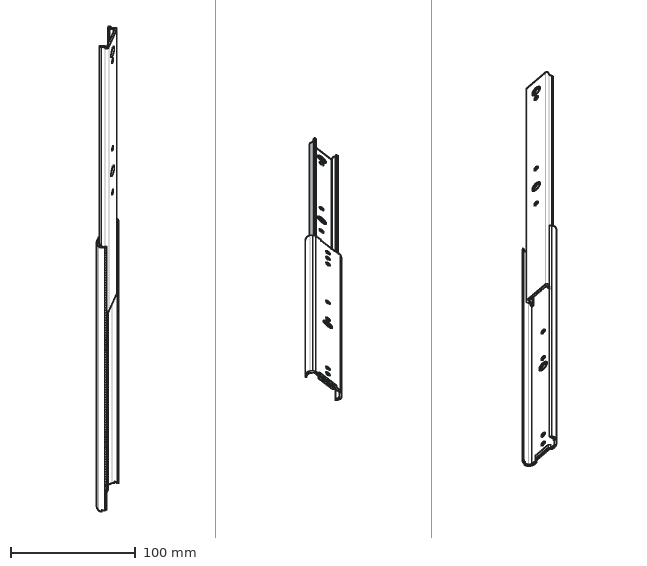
import cadquery as cq
import math


total_length = 531.5
rail_length = 305.5
depth = 9.5
sheet = 1.7
back_x = -depth / 2
front_x = depth / 2

outer_back_half = 13.0
outer_bend_x = -3.5
outer_bend_y = 15.0
flange_slope = 1.85
crown_rise = 0.9
lip_inset = 1.0
lip_drop = 1.35

inner_half_width = 12.0
inner_lip_x = -2.5
groove_start_x = -1.0
groove_depth = 0.8
corner_radius = 1.5

lip_relief_x = 1.0
lip_relief_height = 1.5
tab_half_width = 7.0
tab_drop = 1.5
tab_tip_x = 0.5
emboss_half_width = 9.0
emboss_height = 4.0
emboss_depth = 1.5

small_hole = 4.0
large_hole = 9.0
outer_small_heights = [16.0, 28.5, 139.0, 177.5, 263.5, 276.5, 289.0]
outer_large_heights = [127.5]
inner_small_heights = [354.0, 404.5, 506.0]
inner_large_heights = [378.5, 516.0]


def drill(rail, heights, diameter):
    """Cut round holes along X on the centre line of a rail."""
    points = [(0, height) for height in heights]
    holes = cq.Workplane("YZ").pushPoints(points).circle(diameter / 2).extrude(depth, both=True)
    return rail.cut(holes)


def block(x_start, x_end, half_width, z_start, z_end):
    """Box centred on the XZ plane."""
    base = cq.Workplane("XY", origin=((x_start + x_end) / 2, 0, z_start))
    return base.rect(x_end - x_start, 2 * half_width).extrude(z_end - z_start)


def outer_channel():
    """Outer rail section over the full rail length."""
    crown_start_x = outer_bend_x + flange_slope
    crown_end_x = front_x - lip_inset
    crown_mid_x = (crown_start_x + crown_end_x) / 2
    crown_foot_y = outer_bend_y + flange_slope
    crown_y = crown_foot_y + crown_rise
    inside_back_x = back_x + sheet
    inside_crown_start = (crown_start_x + sheet / 2, crown_foot_y - sheet)
    half = (
        cq.Workplane("XY")
        .moveTo(back_x, 0)
        .lineTo(back_x, outer_back_half)
        .lineTo(outer_bend_x, outer_bend_y)
        .lineTo(crown_start_x, crown_foot_y)
        .threePointArc((crown_mid_x, crown_y), (crown_end_x, crown_foot_y))
        .lineTo(front_x, crown_foot_y - lip_drop)
        .lineTo(crown_end_x, crown_foot_y - sheet)
        .threePointArc((crown_mid_x, crown_y - sheet), inside_crown_start)
        .lineTo(inside_back_x, outer_back_half)
        .lineTo(inside_back_x, 0)
        .close()
        .extrude(rail_length)
    )
    return half.union(half.mirror("XZ"))


def relieve_lips(rail):
    """Shorten the front part of both flanges at the lower end."""
    beyond_flanges = 2 * outer_bend_y
    return rail.cut(block(lip_relief_x, front_x, beyond_flanges, 0, lip_relief_height))


def add_top_tab(rail):
    """Notch the back at its upper end and bend a stop tab inward below the notch."""
    tab_top = rail_length - tab_drop
    inside_back_x = back_x + sheet
    notch = block(back_x, inside_back_x, tab_half_width, tab_top, rail_length)
    tab = block(inside_back_x, tab_tip_x, tab_half_width, tab_top - sheet, tab_top)
    return rail.cut(notch).union(tab)


def emboss_section(start_x):
    """Trapezoid with 45 degree sides, narrowing inward from start_x."""
    end_x = start_x + emboss_depth
    floor_half_width = emboss_half_width - emboss_depth
    return (
        cq.Workplane("XY")
        .moveTo(start_x, -emboss_half_width)
        .lineTo(end_x, -floor_half_width)
        .lineTo(end_x, floor_half_width)
        .lineTo(start_x, emboss_half_width)
        .close()
        .extrude(emboss_height)
    )


def press_bottom_stop(rail):
    """Press the lower end of the back inward."""
    return rail.union(emboss_section(back_x + sheet)).cut(emboss_section(back_x))


def outer_rail():
    rail = outer_channel()
    rail = relieve_lips(rail)
    rail = add_top_tab(rail)
    rail = press_bottom_stop(rail)
    rail = drill(rail, outer_small_heights, small_hole)
    return drill(rail, outer_large_heights, large_hole)


def inner_channel():
    """Inner rail section over the full rail length, at the upper end of the slide."""
    inside_back_x = front_x - sheet
    crest_x = front_x - corner_radius
    half_diagonal = math.sqrt(0.5)
    groove_end_x = crest_x - corner_radius * half_diagonal
    groove_end_y = inner_half_width - corner_radius * (1 - half_diagonal)
    groove_mid_x = (groove_start_x + groove_end_x) / 2
    groove_y = inner_half_width - groove_depth
    half = (
        cq.Workplane("XY", origin=(0, 0, total_length - rail_length))
        .moveTo(front_x, 0)
        .lineTo(front_x, inner_half_width - corner_radius)
        .threePointArc((crest_x, inner_half_width), (groove_end_x, groove_end_y))
        .threePointArc((groove_mid_x, groove_y), (groove_start_x, inner_half_width))
        .lineTo(inner_lip_x, inner_half_width)
        .lineTo(inner_lip_x, inner_half_width - sheet)
        .lineTo(groove_start_x, inner_half_width - sheet)
        .threePointArc((groove_mid_x, groove_y - sheet), (groove_end_x, groove_end_y - sheet))
        .lineTo(inside_back_x, groove_end_y - sheet)
        .lineTo(inside_back_x, 0)
        .close()
        .extrude(rail_length)
    )
    return half.union(half.mirror("XZ"))


def inner_rail():
    rail = inner_channel()
    rail = drill(rail, inner_small_heights, small_hole)
    return drill(rail, inner_large_heights, large_hole)


outer = outer_rail()
inner = inner_rail()
result = cq.Compound.makeCompound([outer.solids().val(), inner.solids().val()])